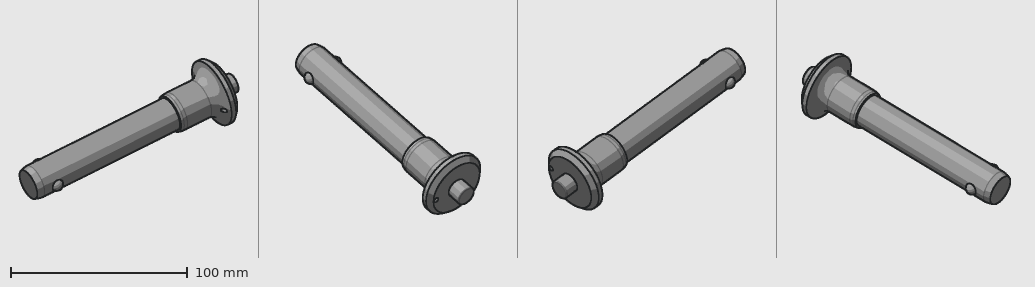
import cadquery as cq


shank_radius = 10.0
shank_length = 96.9
tip_length = 4.2
nose_mid_radius = 9.65
tip_radius = 9.0

overall_length = 140.1
sleeve_radius = 11.75
shoulder_radius = 11.2
shoulder_taper_length = 1.7
sleeve_band_end = 3.85
sleeve_band_drop = 0.15
flange_radius = 20.0
flange_chamfer = 3.0
flange_rim_width = 3.0
button_radius = 5.85
button_length = 8.6
button_edge_round = 0.5

ball_radius = 3.75
ball_reach = 12.6
ball_to_tip = 13.3

lanyard_hole_diameter = 3.0
lanyard_hole_offset = 15.0

tip_y = -shank_length
button_end_y = overall_length - shank_length
flange_back_y = button_end_y - button_length
flange_front_y = flange_back_y - flange_chamfer - flange_rim_width
flare_radius = flange_radius - sleeve_radius
flare_start_y = flange_front_y - flare_radius


def cylinder_along_y(radius, start_y, end_y):
    return cq.Workplane("XZ", origin=(0, start_y, 0)).circle(radius).extrude(start_y - end_y)


def make_shank():
    """Pin shank with a slightly convex nose narrowing to a flat tip."""
    nose_start_y = tip_y + tip_length
    profile = (
        cq.Workplane("XY")
        .moveTo(0, 0)
        .lineTo(shank_radius, 0)
        .lineTo(shank_radius, nose_start_y)
        .threePointArc((nose_mid_radius, tip_y + tip_length / 2), (tip_radius, tip_y))
        .lineTo(0, tip_y)
        .close()
    )
    return profile.revolve(360, (0, 0, 0), (0, 1, 0))


def make_handle():
    """Sleeve with a crowned band and tapered shoulder, flaring in a quarter arc to the flange."""
    band_radius = sleeve_radius - sleeve_band_drop
    profile = (
        cq.Workplane("XY")
        .moveTo(0, 0)
        .lineTo(0, flange_back_y)
        .lineTo(flange_radius - flange_chamfer, flange_back_y)
        .lineTo(flange_radius, flange_back_y - flange_chamfer)
        .lineTo(flange_radius, flange_front_y)
        .radiusArc((sleeve_radius, flare_start_y), -flare_radius)
        .lineTo(sleeve_radius, sleeve_band_end)
        .tangentArcPoint((band_radius, shoulder_taper_length), relative=False)
        .lineTo(shoulder_radius, 0)
        .close()
    )
    return profile.revolve(360, (0, 0, 0), (0, 1, 0))


def make_button():
    """Push button standing on the back of the flange."""
    button = cylinder_along_y(button_radius, flange_back_y, button_end_y)
    return button.faces(">Y").edges().fillet(button_edge_round)


def make_ball(side):
    """Locking ball on the +X (side = 1) or -X (side = -1) flank of the shank."""
    center_x = side * (ball_reach - ball_radius)
    return cq.Workplane("XY").sphere(ball_radius).translate((center_x, tip_y + ball_to_tip, 0))


def make_lanyard_hole():
    hole = cylinder_along_y(lanyard_hole_diameter / 2, 0, flange_back_y)
    return hole.translate((lanyard_hole_offset, 0, 0))


result = make_shank().union(make_handle()).union(make_button())
for flank in (-1, 1):
    result = result.union(make_ball(flank))
result = result.cut(make_lanyard_hole())